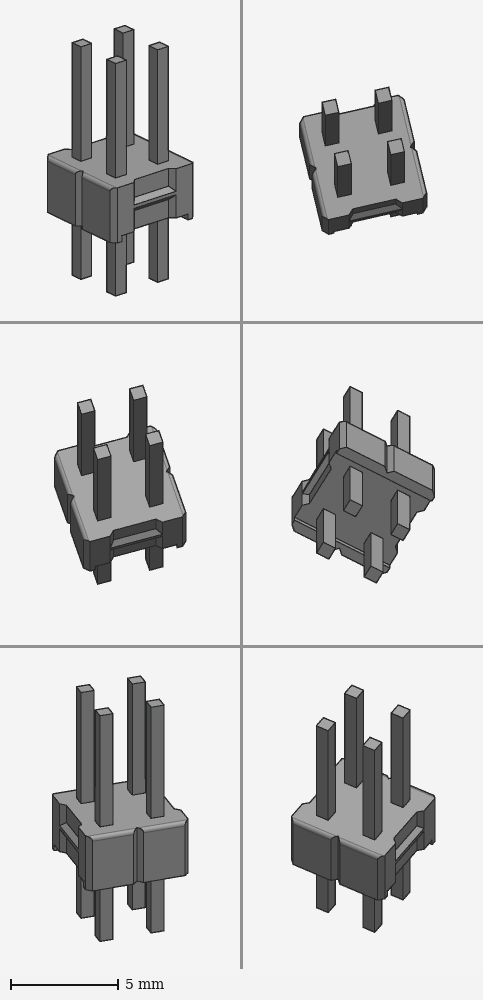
import cadquery as cq

body_x = 5.09
body_y = 5.0
body_height = 2.8
bevel = 0.25
top_radius = 0.2

pin_pitch = 2.54
pin_width = 0.65
pin_length = 11.8
pin_below = 3.2

channel_width = 3.99
channel_depth = 0.3

pocket_width = 2.55
rib_thickness = 0.18
upper_pocket_height = 1.15


def make_body():
    """Housing block with rounded top edges, bevelled corners and seam notches."""
    body = cq.Workplane("XY").box(body_x, body_y, body_height, centered=(True, True, False))
    plan = (
        cq.Workplane("XY")
        .rect(body_x, body_y)
        .extrude(body_height)
        .edges("|Z")
        .chamfer(bevel)
    )
    body = body.edges(">Z and |X").fillet(top_radius).intersect(plan)
    for side in (-1, 1):
        wall = side * body_y / 2
        notch = (
            cq.Workplane("XY")
            .polyline([(-bevel, wall), (bevel, wall), (0, wall - side * bevel)])
            .close()
            .extrude(body_height)
        )
        body = body.cut(notch)
    return body


def make_channel():
    """Channel along X through the underside, leaving a foot on each side."""
    return cq.Workplane("XY").box(body_x, channel_width, channel_depth, centered=(True, True, False))


def make_pocket(side, rib_face, open_end):
    """Pocket in one X wall, sloping inward at its sides and at the rib.

    It runs from the rib face out through the top or bottom of the housing.
    """
    direction = 1 if open_end > rib_face else -1
    open_z = open_end + direction * bevel

    def profile(inset):
        start = rib_face + direction * inset
        return (
            cq.Workplane("YZ", origin=(side * (body_x / 2 - inset), 0, 0))
            .center(0, (start + open_z) / 2)
            .rect(pocket_width - 2 * inset, abs(open_z - start))
            .wires()
            .val()
        )

    return cq.Solid.makeLoft([profile(0), profile(bevel)], True)


def make_pins():
    """Four square pins passing through the housing."""
    return (
        cq.Workplane("XY", origin=(0, 0, -pin_below))
        .rarray(pin_pitch, pin_pitch, 2, 2)
        .rect(pin_width, pin_width)
        .extrude(pin_length)
    )


rib_top = body_height - upper_pocket_height
rib_bottom = rib_top - rib_thickness

housing = make_body().cut(make_channel())
for x_side in (-1, 1):
    housing = housing.cut(cq.Workplane(make_pocket(x_side, rib_top, body_height)))
    housing = housing.cut(cq.Workplane(make_pocket(x_side, rib_bottom, 0)))

result = housing.union(make_pins())